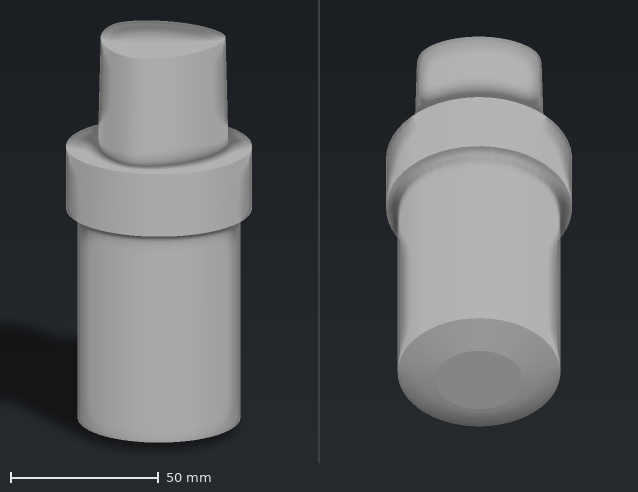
import cadquery as cq
import math

total_height = 138.0
collar_top = 100.0
collar_bottom = 77.8
shank_bottom = 3.5

collar_radius = 62.9 / 2
shank_radius = 55.0 / 2
end_face_radius = 29.7 / 2
neck_fillet = 2.8

base_width = 44.2
taper = 1 / 20
lobe_height = 1.5
curve_points = 48

polygon_height = total_height - collar_top
top_width = base_width - taper * polygon_height


def turned_body():
    """Coned end, shank, filleted neck and collar revolved about Z."""
    corner = neck_fillet * (1 - math.sqrt(0.5))
    profile = (
        cq.Workplane("XZ")
        .lineTo(end_face_radius, 0)
        .lineTo(shank_radius, shank_bottom)
        .lineTo(shank_radius, collar_bottom - neck_fillet)
        .threePointArc(
            (shank_radius + corner, collar_bottom - corner),
            (shank_radius + neck_fillet, collar_bottom),
        )
        .lineTo(collar_radius, collar_bottom)
        .lineTo(collar_radius, collar_top)
        .lineTo(0, collar_top)
        .close()
    )
    return profile.revolve(360, (0, 0, 0), (0, 1, 0))


def polygon_point(width, angle):
    """Point whose outward normal has this angle, measured from the lobe on -Y."""
    reach = width / 2 + lobe_height * math.cos(3 * angle)
    slide = -3 * lobe_height * math.sin(3 * angle)
    x = reach * math.sin(angle) + slide * math.cos(angle)
    y = -reach * math.cos(angle) + slide * math.sin(angle)
    return cq.Vector(x, y, 0)


def polygon_wire(width, height):
    step = 2 * math.pi / curve_points
    points = [polygon_point(width, i * step) for i in range(curve_points)]
    edge = cq.Edge.makeSpline(points, periodic=True)
    return cq.Wire.assembleEdges([edge]).translate(cq.Vector(0, 0, height))


def tapered_polygon():
    base = polygon_wire(base_width, collar_top)
    top = polygon_wire(top_width, total_height)
    return cq.Solid.makeLoft([base, top], True)


result = turned_body().union(cq.Workplane(obj=tapered_polygon()))